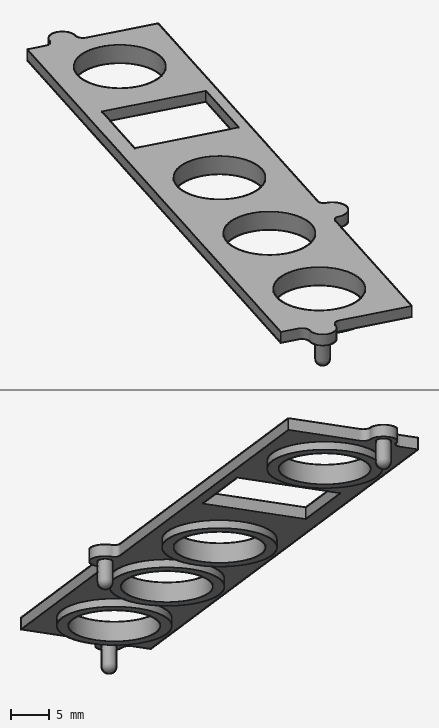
import cadquery as cq
import math

overall_length = 91.0
plate_length = 85.2
plate_width = 18.6
plate_thickness = 1.6

end_tab_radius = 1.8
end_tab_y = -3.8
back_tab_radius = 2.1
back_tab_x = 13.9
back_tab_reach = 2.9

opening_pitch = 16.7
opening_steps = (-2, 0, 1, 2)
opening_diameter = 12.0
rim_diameter = 15.0
rim_height = 1.1

window_length = 11.0
window_width = 14.7
window_x = -17.4
window_y = 0.4

pin_diameter = 2.0
pin_length = 3.8

end_tab_reach = (overall_length - plate_length) / 2
opening_centres = [(step * opening_pitch, 0) for step in opening_steps]


def make_tab(radius, reach, edge_point, angle):
    """Round-ended tab pointing along angle, blended into the plate edge by concave arcs."""
    blend = reach - radius
    diagonal = blend * (1 - math.sqrt(0.5))
    root = radius + blend
    tab = (
        cq.Workplane("XY")
        .moveTo(-blend, -root)
        .lineTo(0, -root)
        .threePointArc((diagonal, -radius - diagonal), (blend, -radius))
        .threePointArc((reach, 0), (blend, radius))
        .threePointArc((diagonal, radius + diagonal), (0, root))
        .lineTo(-blend, root)
        .close()
        .extrude(plate_thickness)
    )
    return tab.rotate((0, 0, 0), (0, 0, 1), angle).translate((*edge_point, 0))


def make_pin(x, y):
    """Pin hanging below the plate."""
    pin_radius = pin_diameter / 2
    shank_end = pin_radius - pin_length
    tip_offset = pin_radius * math.sqrt(0.5)
    return (
        cq.Workplane("XZ")
        .moveTo(0, plate_thickness / 2)
        .lineTo(pin_radius, plate_thickness / 2)
        .lineTo(pin_radius, shank_end)
        .threePointArc((tip_offset, shank_end - tip_offset), (0, -pin_length))
        .close()
        .revolve(360, (0, 0, 0), (0, 1, 0))
        .translate((x, y, 0))
    )


body = cq.Workplane("XY").rect(plate_length, plate_width).extrude(plate_thickness)
rims = cq.Workplane("XY").pushPoints(opening_centres).circle(rim_diameter / 2).extrude(-rim_height)
body = body.union(rims)

tabs = (
    (end_tab_radius, end_tab_reach, (plate_length / 2, end_tab_y), 0),
    (back_tab_radius, back_tab_reach, (back_tab_x, plate_width / 2), 90),
    (end_tab_radius, end_tab_reach, (-plate_length / 2, end_tab_y), 180),
)
for radius, reach, (edge_x, edge_y), angle in tabs:
    pin_offset = reach - radius
    pin_x = edge_x + pin_offset * math.cos(math.radians(angle))
    pin_y = edge_y + pin_offset * math.sin(math.radians(angle))
    body = body.union(make_tab(radius, reach, (edge_x, edge_y), angle))
    body = body.union(make_pin(pin_x, pin_y))

openings = (
    cq.Workplane("XY", origin=(0, 0, -rim_height))
    .pushPoints(opening_centres)
    .circle(opening_diameter / 2)
    .extrude(rim_height + plate_thickness)
)
window = (
    cq.Workplane("XY")
    .center(window_x, window_y)
    .rect(window_length, window_width)
    .extrude(plate_thickness)
)

result = body.cut(openings).cut(window)